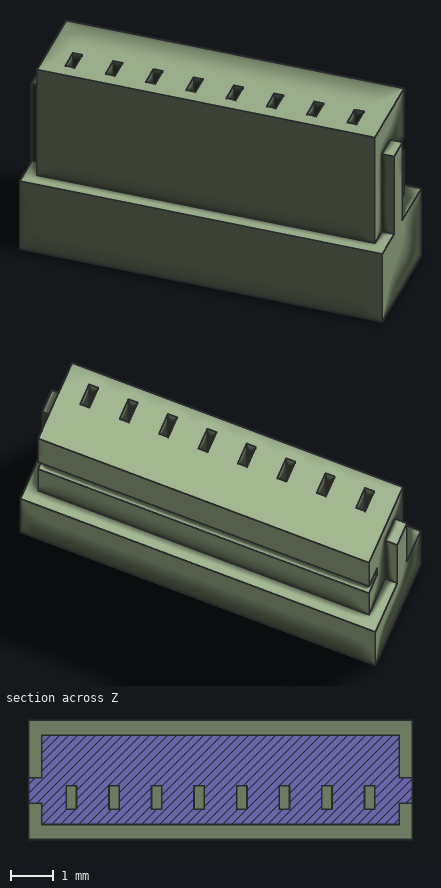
import cadquery as cq

base_length = 9.0
base_width = 2.8
base_height = 1.95

total_height = 5.0
end_setback = 0.31
side_setback = 0.35
housing_length = base_length - 2 * end_setback
housing_width = base_width - 2 * side_setback
housing_back_y = housing_width / 2

rib_width = 0.6
rib_center_y = -0.25
rib_top_z = total_height - 0.81
rib_height = rib_top_z - base_height

groove_depth = 0.495
groove_top_z = total_height - 1.39
groove_inner_height = 0.36
groove_mouth_height = 0.405

contact_count = 8
contact_pitch = 1.0
contact_length_x = 0.23
contact_width_y = 0.55
contact_center_y = -0.41
contact_floor_z = base_height
contact_depth = total_height - contact_floor_z


def make_base():
    return cq.Workplane("XY").box(base_length, base_width, base_height, centered=(True, True, False))


def make_housing():
    return cq.Workplane("XY").box(
        housing_length, housing_width, total_height, centered=(True, True, False)
    )


def make_ribs():
    return (
        cq.Workplane("XY", origin=(0, rib_center_y, base_height))
        .box(base_length, rib_width, rib_height, centered=(True, True, False))
    )


def make_latch_groove():
    groove_bottom_y = housing_back_y - groove_depth
    profile = [
        (housing_back_y, groove_top_z),
        (groove_bottom_y, groove_top_z),
        (groove_bottom_y, groove_top_z - groove_inner_height),
        (housing_back_y, groove_top_z - groove_mouth_height),
    ]
    return cq.Workplane("YZ").polyline(profile).close().extrude(housing_length / 2, both=True)


def make_contact_openings():
    return (
        cq.Workplane("XY", origin=(0, contact_center_y, contact_floor_z))
        .rarray(contact_pitch, 0.09, contact_count, 1)
        .rect(contact_length_x, contact_width_y)
        .extrude(contact_depth)
    )


result = (
    make_base()
    .union(make_housing())
    .union(make_ribs())
    .cut(make_latch_groove())
    .cut(make_contact_openings())
)